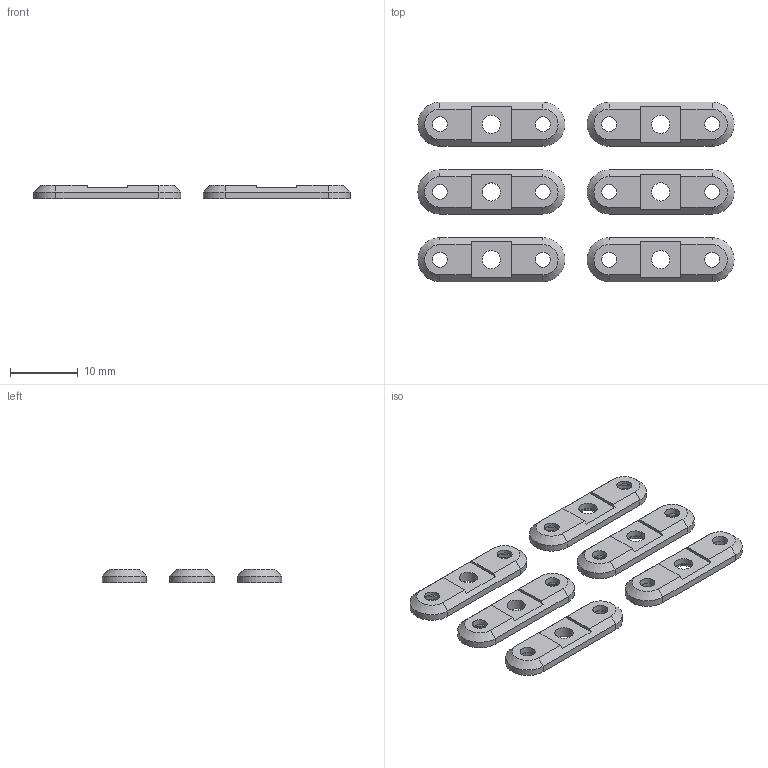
import cadquery as cq

plate_width = 6.5
hole_spacing = 15.2
plate_length = hole_spacing + plate_width
plate_height = 2.0
bevel = 1.0

seat_length = 6.0
seat_depth = 0.4

center_hole_diameter = 2.7
end_hole_diameter = 2.2

small_end_sink = (2.8, 0.8)
medium_end_sink = (3.8, 0.3)
large_end_sink = (4.0, 0.6)
center_sink = (3.5, 0.3)

row_end_sinks = [small_end_sink, medium_end_sink, large_end_sink]
column_center_sinks = [None, center_sink]
row_pitch = 10.0
column_pitch = 25.0


def make_blank():
    """Rounded bar with its top edge bevelled all round, standing on Z = 0."""
    bar = cq.Workplane("XY").slot2D(plate_length, plate_width).extrude(plate_height)
    return bar.faces(">Z").chamfer(bevel)


def make_seat_cutter():
    """Block that cuts the seat across the full width."""
    seat_floor = plate_height - seat_depth
    outline = cq.Workplane("XY").workplane(offset=seat_floor).rect(seat_length, plate_width)
    return outline.extrude(seat_depth)


def make_hole_cutter(hole_diameter, sink, x):
    """Through hole at x, widened from the underside when a countersink is given."""
    hole_radius = hole_diameter / 2
    if sink is None:
        return cq.Workplane("XY").center(x, 0).circle(hole_radius).extrude(plate_height)
    mouth_diameter, straight_depth = sink
    mouth_radius = mouth_diameter / 2
    cone_top = straight_depth + mouth_radius - hole_radius
    half_section = (
        cq.Workplane("XZ")
        .lineTo(mouth_radius, 0)
        .lineTo(mouth_radius, straight_depth)
        .lineTo(hole_radius, cone_top)
        .lineTo(hole_radius, plate_height)
        .lineTo(0, plate_height)
        .close()
    )
    return half_section.revolve(360, (0, 0, 0), (0, 1, 0)).translate((x, 0, 0))


def make_plate(end_sink, middle_sink):
    """One complete link plate, centered on the origin in X and Y."""
    plate = make_blank().cut(make_seat_cutter())
    plate = plate.cut(make_hole_cutter(center_hole_diameter, middle_sink, 0))
    for x in (-hole_spacing / 2, hole_spacing / 2):
        plate = plate.cut(make_hole_cutter(end_hole_diameter, end_sink, x))
    return plate


plates = []
for column, middle_sink in enumerate(column_center_sinks):
    plate_x = (column - (len(column_center_sinks) - 1) / 2) * column_pitch
    for row, end_sink in enumerate(row_end_sinks):
        plate_y = (row - (len(row_end_sinks) - 1) / 2) * row_pitch
        plates.append(make_plate(end_sink, middle_sink).translate((plate_x, plate_y, 0)))

result = cq.Compound.makeCompound([plate.val() for plate in plates])